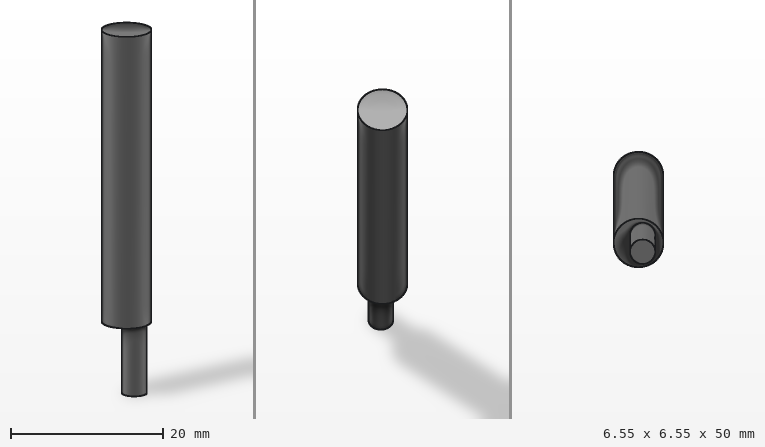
import cadquery as cq

total_length = 50.0
pin_length = 10.0
body_diameter = 6.55
pin_diameter = 3.3
pin_offset_y = 1.2

body_length = total_length - pin_length

body = cq.Workplane("XY").circle(body_diameter / 2).extrude(body_length)

pin = (
    cq.Workplane("XY")
    .center(0, pin_offset_y)
    .circle(pin_diameter / 2)
    .extrude(-pin_length)
)

result = body.union(pin)